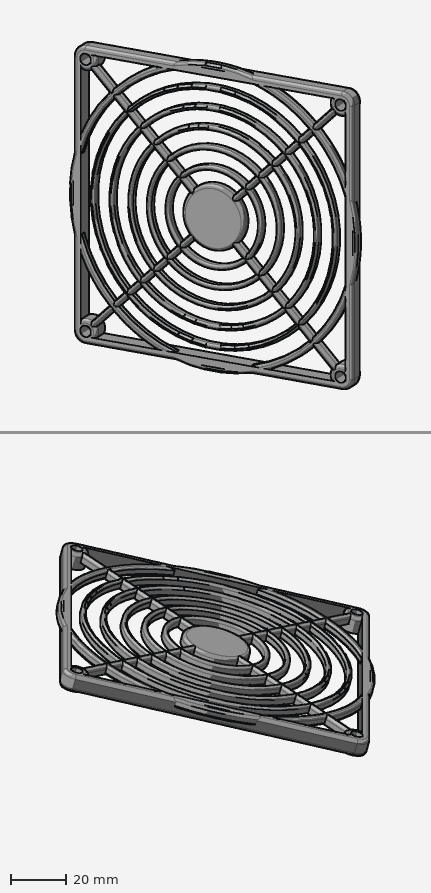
import cadquery as cq
import math

frame_side = 115.0
frame_depth = 6.6
frame_wall = 2.95
corner_radius = 4.7
frame_rounding = 1.35

screw_spacing = 105.0
screw_hole_diameter = 4.4
boss_diameter = 9.2
boss_rounding = 1.35

guard_depth = 3.55
hub_radius = 12.8
hub_rounding = 1.3
ring_count = 5
first_ring_radius = 19.05
ring_pitch = 7.7
ring_width = 2.0
ring_front_rounding = 0.95
ring_back_rounding = 0.7
outer_ring_radius = 59.45
outer_ring_width = 2.72
spoke_width = 2.5
spoke_rounding = 1.2
spoke_angles = (45, 135)

front_y = -frame_depth / 2
guard_back_y = front_y + guard_depth
screw_offset = screw_spacing / 2
inner_side = frame_side - 2 * frame_wall


def front_plane():
    """Sketch plane on the front face, with its normal pointing to -Y."""
    return cq.Workplane("XZ", origin=(0, front_y, 0))


def make_block():
    """Solid square with rounded corners."""
    return front_plane().rect(frame_side, frame_side).extrude(-frame_depth).edges("|Y").fillet(corner_radius)


def make_frame():
    """Square band, its outer rim rounded except for a flat front inside the outer ring."""
    rounded_block = make_block().faces("<Y or >Y").edges().fillet(frame_rounding)
    flat_radius = outer_ring_radius - ring_front_rounding
    flat_disc = front_plane().circle(flat_radius).extrude(-frame_rounding)
    opening = front_plane().rect(inner_side, inner_side).extrude(-frame_depth)
    return rounded_block.union(make_block().intersect(flat_disc)).cut(opening)


def screw_points():
    return [(x, z) for x in (-screw_offset, screw_offset) for z in (-screw_offset, screw_offset)]


def make_bosses():
    """Full-depth round bosses with a rounded front rim."""
    return (
        front_plane()
        .pushPoints(screw_points())
        .circle(boss_diameter / 2)
        .extrude(-frame_depth)
        .faces("<Y")
        .edges()
        .fillet(boss_rounding)
    )


def make_screw_holes():
    return front_plane().pushPoints(screw_points()).circle(screw_hole_diameter / 2).extrude(-frame_depth)


def revolve_about_y(profile):
    """Turn a profile drawn in the YZ plane once around the Y axis."""
    return profile.revolve(360, (0, 0, 0), (1, 0, 0))


def make_ring(outer_radius, width):
    """Ring whose four edges are rounded."""
    profile = (
        cq.Workplane("YZ")
        .moveTo(front_y, outer_radius - width)
        .lineTo(guard_back_y, outer_radius - width)
        .lineTo(guard_back_y, outer_radius)
        .lineTo(front_y, outer_radius)
        .close()
    )
    ring = revolve_about_y(profile)
    ring = ring.faces("<Y").edges().fillet(ring_front_rounding)
    return ring.faces(">Y").edges().fillet(ring_back_rounding)


def make_hub():
    """Round disc with a rounded front rim."""
    profile = (
        cq.Workplane("YZ")
        .moveTo(front_y, 0)
        .lineTo(guard_back_y, 0)
        .lineTo(guard_back_y, hub_radius)
        .lineTo(front_y, hub_radius)
        .close()
    )
    return revolve_about_y(profile).faces("<Y").edges().fillet(hub_rounding)


def make_spoke(angle):
    """Bar with a rounded front, crossing the hub from one screw boss to the opposite one."""
    return (
        front_plane()
        .rect(screw_spacing * math.sqrt(2) - screw_hole_diameter, spoke_width)
        .extrude(-guard_depth)
        .edges("<Y and |X")
        .fillet(spoke_rounding)
        .rotate((0, 0, 0), (0, 1, 0), angle)
    )


def make_guard():
    """Hub, spokes and rings joined into one grille."""
    guard = make_spoke(spoke_angles[0]).union(make_spoke(spoke_angles[1])).union(make_hub())
    for index in range(ring_count):
        ring_radius = first_ring_radius + index * ring_pitch
        guard = guard.union(make_ring(ring_radius + ring_width / 2, ring_width))
    return guard.union(make_ring(outer_ring_radius, outer_ring_width))


result = make_frame().union(make_bosses()).union(make_guard()).cut(make_screw_holes())